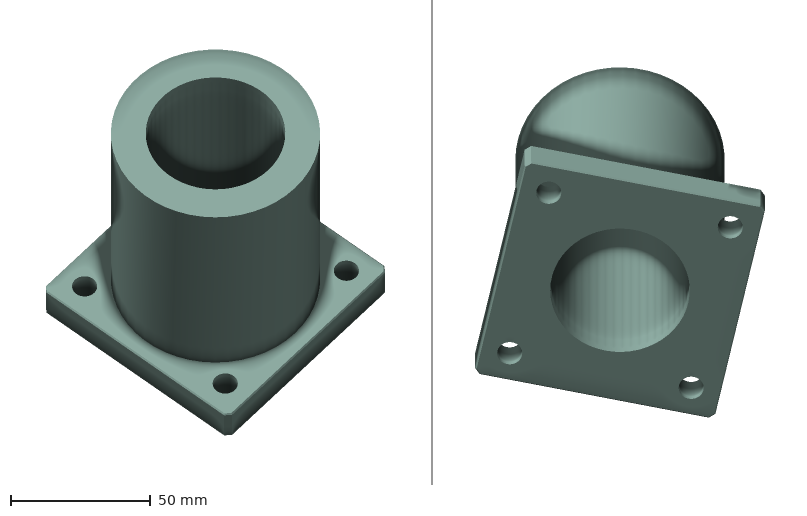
import cadquery as cq

flange_side = 88.0
total_height = 100.0
flange_thickness = 13.0

sleeve_diameter = 75.0
bore_diameter = 50.0

hole_diameter = 9.0
hole_spacing = 66.5

corner_chamfer = 2.0
rim_chamfer = 0.5


def make_flange():
    """Square plate with chamfered corners and rims, its underside at Z = 0."""
    plate = cq.Workplane("XY").box(
        flange_side, flange_side, flange_thickness, centered=(True, True, False)
    )
    plate = plate.edges("|Z").chamfer(corner_chamfer)
    return plate.faces("<Z or >Z").edges().chamfer(rim_chamfer)


def make_sleeve():
    """Round sleeve running the full height of the part."""
    return cq.Workplane("XY").circle(sleeve_diameter / 2).extrude(total_height)


def make_bore():
    """Cutter for the bore through the sleeve and flange."""
    return cq.Workplane("XY").circle(bore_diameter / 2).extrude(total_height)


def make_mounting_holes():
    """Cutters for the four through holes in the flange corners."""
    return (
        cq.Workplane("XY")
        .rarray(hole_spacing, hole_spacing, 2, 2)
        .circle(hole_diameter / 2)
        .extrude(flange_thickness)
    )


result = make_flange().union(make_sleeve()).cut(make_bore()).cut(make_mounting_holes())